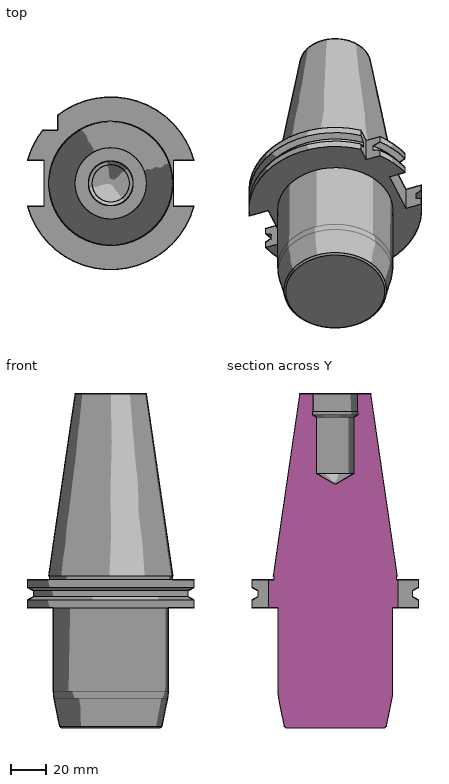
import cadquery as cq
import math


GAUGE_RADIUS = 69.85 / 2
TAPER_RATIO = 7 / 24
TAPER_LENGTH = 101.75
TAPER_TOP_RADIUS = GAUGE_RADIUS - TAPER_LENGTH * TAPER_RATIO / 2
NECK_RADIUS = 69.4 / 2
TAPER_OVERRUN = 1.0
TAPER_BASE_RADIUS = GAUGE_RADIUS + TAPER_OVERRUN * TAPER_RATIO / 2

FLANGE_RADIUS = 97.45 / 2
FLANGE_TOP = -3.2
FLANGE_BOTTOM = -19.1
GROOVE_CENTER = -11.1
GROOVE_ROOT_RADIUS = 91.1 / 2
GROOVE_ROOT_HALF_WIDTH = 1.7
GROOVE_FLANK_ANGLE = math.radians(30)
GROOVE_DEPTH = FLANGE_RADIUS - GROOVE_ROOT_RADIUS
GROOVE_MOUTH_HALF_WIDTH = GROOVE_ROOT_HALF_WIDTH + GROOVE_DEPTH * math.tan(GROOVE_FLANK_ANGLE)

SLOT_WIDTH = 25.8
LEFT_SLOT_FLOOR = 37.7
RIGHT_SLOT_FLOOR = 35.5
NOTCH_X = 30.0
NOTCH_Y = 30.0

TOTAL_LENGTH = 188.6
NOSE_BOTTOM = TAPER_LENGTH - TOTAL_LENGTH
NOSE_RADIUS = 65.0 / 2
BLEND_TOP = -66.2
BLEND_BOTTOM = -70.1
NOSE_CONE_ANGLE = math.radians(11.5)
BLEND_RADIUS = (BLEND_TOP - BLEND_BOTTOM) / math.sin(NOSE_CONE_ANGLE)
NOSE_CHAMFER = 1.0

BORE_RADIUS = 25.01 / 2
BORE_DEPTH = 10.0
RELIEF_RADIUS = 25.46 / 2
RELIEF_LENGTH = 2.0
STUD_HOLE_RADIUS = 21.0 / 2
STUD_HOLE_DEPTH = 45.0
DRILL_HALF_ANGLE = math.radians(60)


def blend_point(angle):
    """Point on the arc that leads tangentially from the nose cylinder into the nose cone."""
    radius = NOSE_RADIUS - BLEND_RADIUS * (1 - math.cos(angle))
    return radius, BLEND_TOP - BLEND_RADIUS * math.sin(angle)


def make_body():
    """Revolved outside shape: taper, neck, grooved flange and nose."""
    blend_end = blend_point(NOSE_CONE_ANGLE)
    chamfer_top = NOSE_BOTTOM + NOSE_CHAMFER
    cone_end_radius = blend_end[0] - (blend_end[1] - chamfer_top) * math.tan(NOSE_CONE_ANGLE)
    return (
        cq.Workplane("XZ")
        .moveTo(0, TAPER_LENGTH)
        .lineTo(TAPER_TOP_RADIUS, TAPER_LENGTH)
        .lineTo(TAPER_BASE_RADIUS, -TAPER_OVERRUN)
        .lineTo(NECK_RADIUS, -TAPER_OVERRUN)
        .lineTo(NECK_RADIUS, FLANGE_TOP)
        .lineTo(FLANGE_RADIUS, FLANGE_TOP)
        .lineTo(FLANGE_RADIUS, GROOVE_CENTER + GROOVE_MOUTH_HALF_WIDTH)
        .lineTo(GROOVE_ROOT_RADIUS, GROOVE_CENTER + GROOVE_ROOT_HALF_WIDTH)
        .lineTo(GROOVE_ROOT_RADIUS, GROOVE_CENTER - GROOVE_ROOT_HALF_WIDTH)
        .lineTo(FLANGE_RADIUS, GROOVE_CENTER - GROOVE_MOUTH_HALF_WIDTH)
        .lineTo(FLANGE_RADIUS, FLANGE_BOTTOM)
        .lineTo(NOSE_RADIUS, FLANGE_BOTTOM)
        .lineTo(NOSE_RADIUS, BLEND_TOP)
        .threePointArc(blend_point(NOSE_CONE_ANGLE / 2), blend_end)
        .lineTo(cone_end_radius, chamfer_top)
        .lineTo(cone_end_radius - NOSE_CHAMFER, NOSE_BOTTOM)
        .lineTo(0, NOSE_BOTTOM)
        .close()
        .revolve(360, (0, 0, 0), (0, 1, 0))
    )


def flange_cutter(x_min, x_max, y_min, y_max):
    """Block over the full flange thickness."""
    return (
        cq.Workplane("XY", origin=(0, 0, FLANGE_BOTTOM))
        .moveTo(x_min, y_min)
        .lineTo(x_max, y_min)
        .lineTo(x_max, y_max)
        .lineTo(x_min, y_max)
        .close()
        .extrude(FLANGE_TOP - FLANGE_BOTTOM)
    )


def make_stud_bore():
    """Revolved cutter: bore, relief, conical seat and stud hole with a drill point."""
    bore_end = TAPER_LENGTH - BORE_DEPTH
    relief_end = bore_end - RELIEF_LENGTH
    seat_end = relief_end - (RELIEF_RADIUS - STUD_HOLE_RADIUS) / math.tan(DRILL_HALF_ANGLE)
    hole_end = TAPER_LENGTH - STUD_HOLE_DEPTH
    tip = hole_end - STUD_HOLE_RADIUS / math.tan(DRILL_HALF_ANGLE)
    return (
        cq.Workplane("XZ")
        .moveTo(0, TAPER_LENGTH)
        .lineTo(BORE_RADIUS, TAPER_LENGTH)
        .lineTo(BORE_RADIUS, bore_end)
        .lineTo(RELIEF_RADIUS, bore_end)
        .lineTo(RELIEF_RADIUS, relief_end)
        .lineTo(STUD_HOLE_RADIUS, seat_end)
        .lineTo(STUD_HOLE_RADIUS, hole_end)
        .lineTo(0, tip)
        .close()
        .revolve(360, (0, 0, 0), (0, 1, 0))
    )


left_slot = flange_cutter(-FLANGE_RADIUS, -LEFT_SLOT_FLOOR, -SLOT_WIDTH / 2, SLOT_WIDTH / 2)
right_slot = flange_cutter(RIGHT_SLOT_FLOOR, FLANGE_RADIUS, -SLOT_WIDTH / 2, SLOT_WIDTH / 2)
notch = flange_cutter(-FLANGE_RADIUS, -NOTCH_X, NOTCH_Y, FLANGE_RADIUS)

result = make_body().cut(left_slot).cut(right_slot).cut(notch).cut(make_stud_bore())